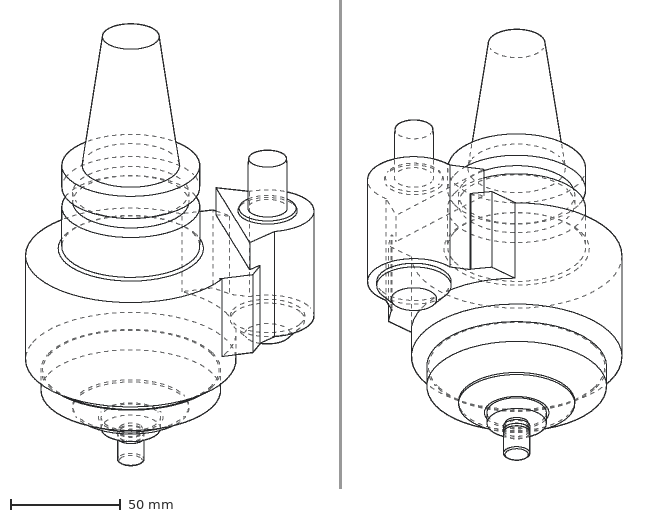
import cadquery as cq

total_height = 216.5
body_radius = 96.0 / 2
flange_radius = 63.0 / 2
flange_groove_radius = 53.0 / 2
taper_base_radius = 44.4 / 2
taper_top_radius = 13.0
shoulder_radius = 35.5
flange_foot_radius = 33.1
body_neck_radius = 40.3
lower_ring_radius = 82.0 / 2
nose_step_radius = 53.0 / 2
nose_tip_radius = 14.7
collar_radius = 27.0 / 2
stem_radius = 12.1 / 2
stem_groove_radius = 12.0 / 2
stem_end_radius = 10.5 / 2

stem_chamfer_top = 0.6
stem_groove_bottom = 11.7
stem_groove_top = 13.0
stem_shoulder = 15.0
collar_bottom = 16.5
collar_top = 22.0
nose_step_bottom = 26.8
nose_step_top = 28.0
lower_ring_bottom = 36.0
lower_ring_top = 46.3
body_bottom = 51.5
body_top = 104.7
shoulder_top = 108.2
flange_bottom = 109.3
groove_chamfer_bottom = 129.6
groove_bottom = 132.0
groove_top = 136.8
groove_chamfer_top = 139.4
flange_top = 150.6
taper_bottom = 151.0

arm_reach = 86.0
arm_radius = 21.2
arm_axis_y = arm_reach - arm_radius
arm_bottom = 65.1
arm_top = 118.8
arm_flare_y = 62.0
arm_foot_y = 48.3
arm_foot_half_width = 29.0

bracket_half_width = 34.2
bracket_back_half_width = 26.5
bracket_back_y = 53.9
bracket_top = 105.0

pin_radius = 18.0 / 2
pin_end_radius = 8.7
pin_chamfer_bottom = 142.0
pin_top = 145.5
pin_seat_radius = 27.0 / 2
pin_seat_top_radius = 13.0
pin_seat_top = 120.0

plug_radius = 34.0 / 2
plug_end_radius = 10.4
plug_chamfer_top = 63.2
plug_bottom = 56.0


def revolve_about_z(profile, axis_y=0.0):
    """Revolve (radius, height) points, closed along the axis, about a vertical axis."""
    points = [(0, profile[0][1])] + profile + [(0, profile[-1][1])]
    solid = cq.Workplane("XZ").polyline(points).close().revolve(360, (0, 0), (0, 1))
    return solid.translate((0, axis_y, 0))


def make_spindle():
    return revolve_about_z([
        (stem_end_radius, 0),
        (stem_radius, stem_chamfer_top),
        (stem_radius, stem_groove_bottom),
        (stem_groove_radius, stem_groove_bottom),
        (stem_groove_radius, stem_groove_top),
        (stem_radius, stem_groove_top),
        (stem_radius, stem_shoulder),
        (stem_end_radius, stem_shoulder),
        (stem_end_radius, collar_bottom),
        (collar_radius, collar_bottom),
        (collar_radius, collar_top),
        (nose_tip_radius, collar_top),
        (nose_step_radius, nose_step_bottom),
        (nose_step_radius, nose_step_top),
        (lower_ring_radius, lower_ring_bottom),
        (lower_ring_radius, lower_ring_top),
        (body_neck_radius, lower_ring_top),
        (body_radius, body_bottom),
        (body_radius, body_top),
        (shoulder_radius, shoulder_top),
        (flange_foot_radius, shoulder_top),
        (flange_radius, flange_bottom),
        (flange_radius, groove_chamfer_bottom),
        (flange_groove_radius, groove_bottom),
        (flange_groove_radius, groove_top),
        (flange_radius, groove_chamfer_top),
        (flange_radius, flange_top),
        (taper_base_radius, flange_top),
        (taper_base_radius, taper_bottom),
        (taper_top_radius, total_height),
    ])


def make_bracket():
    """Block with bevelled back corners that joins the arm to the body."""
    return (
        cq.Workplane("XY", origin=(0, 0, arm_bottom))
        .moveTo(-bracket_half_width, 0)
        .lineTo(bracket_half_width, 0)
        .lineTo(bracket_half_width, arm_foot_y)
        .lineTo(bracket_back_half_width, bracket_back_y)
        .lineTo(-bracket_back_half_width, bracket_back_y)
        .lineTo(-bracket_half_width, arm_foot_y)
        .close()
        .extrude(bracket_top - arm_bottom)
    )


def make_arm():
    """Round-backed block that flares out towards its foot."""
    return (
        cq.Workplane("XY", origin=(0, 0, arm_bottom))
        .moveTo(-arm_foot_half_width, arm_foot_y)
        .lineTo(arm_foot_half_width, arm_foot_y)
        .lineTo(arm_radius, arm_flare_y)
        .lineTo(arm_radius, arm_axis_y)
        .threePointArc((0, arm_reach), (-arm_radius, arm_axis_y))
        .lineTo(-arm_radius, arm_flare_y)
        .close()
        .extrude(arm_top - arm_bottom)
    )


def make_pin_and_plug():
    """Tapered plug under the arm, with the locating pin and its seat above."""
    return revolve_about_z([
        (plug_end_radius, plug_bottom),
        (plug_radius, plug_chamfer_top),
        (plug_radius, arm_bottom),
        (pin_seat_radius, arm_bottom),
        (pin_seat_radius, arm_top),
        (pin_seat_top_radius, pin_seat_top),
        (pin_radius, pin_seat_top),
        (pin_radius, pin_chamfer_bottom),
        (pin_end_radius, pin_top),
    ], arm_axis_y)


result = make_spindle().union(make_bracket()).union(make_arm()).union(make_pin_and_plug())